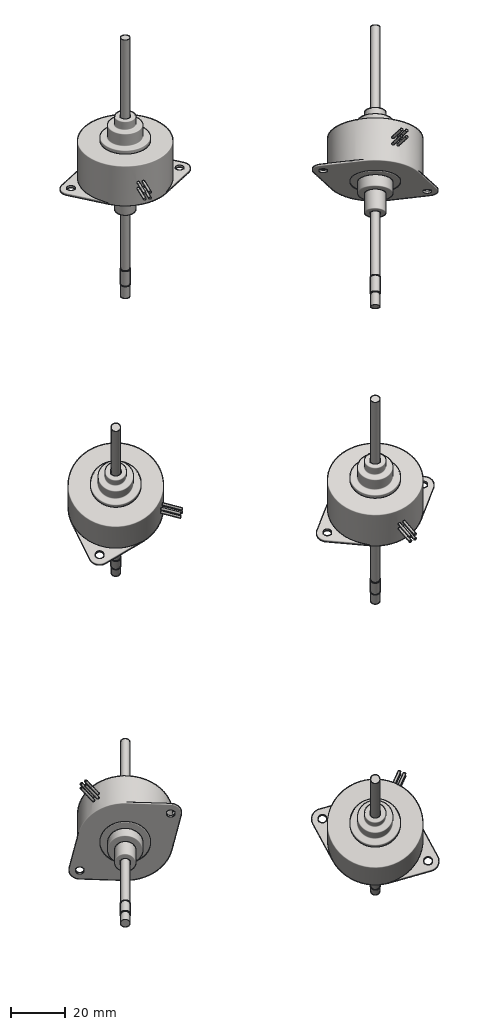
import cadquery as cq
import math


BODY_DIAMETER = 35.0
BODY_HEIGHT = 17.4

EDGE_FILLET = 0.3

FLANGE_THICKNESS = 1.0
MOUNT_HOLE_DIAMETER = 3.2
MOUNT_HOLE_OFFSET = 21.0
LUG_RADIUS = 4.0

PLATE_DIAMETER = 18.6
HOUSING_DIAMETER = 13.0
SLEEVE_DIAMETER = 7.9
TOP_PLATE_HEIGHT = 1.5
TOP_HOUSING_HEIGHT = 6.9
TOP_SLEEVE_HEIGHT = 10.6
BOTTOM_PLATE_HEIGHT = 0.45
BOTTOM_HOUSING_HEIGHT = 5.1
BOTTOM_SLEEVE_HEIGHT = 13.0

ROD_DIAMETER = 3.5
BAND_DIAMETER = 3.8
NECK_DIAMETER = 3.36
ROD_LENGTH = 113.0
ROD_BOTTOM = -50.7
TAIL_LENGTH = 5.15
BAND_LENGTH = 6.45
NECK_WIDTH = 0.3

BORE_DIAMETER = 4.0
BORE_DEPTH = 2.0

WIRE_DIAMETER = 1.0
WIRE_END = 25.0
WIRE_EMBED = 1.0
WIRE_ROOT = BODY_DIAMETER / 2 - WIRE_EMBED
WIRE_Y_OFFSET = 1.0
WIRE_MID_Z = BODY_HEIGHT / 2
WIRE_Z_OFFSET = 1.3


def cylinder(diameter, z_start, z_end):
    """Cylinder on the motor axis between two heights."""
    return cq.Workplane("XY", origin=(0, 0, z_start)).circle(diameter / 2).extrude(z_end - z_start)


def rounded_cylinder(diameter, z_start, z_end):
    """Cylinder on the motor axis with both rims rounded."""
    return cylinder(diameter, z_start, z_end).faces("<Z or >Z").edges().fillet(EDGE_FILLET)


def make_flange():
    """Plate whose straight edges are tangent to the can's circle and to the lug tips."""
    body_radius = BODY_DIAMETER / 2
    normal_y = (body_radius - LUG_RADIUS) / MOUNT_HOLE_OFFSET
    normal_x = math.sqrt(1 - normal_y**2)
    body_x = body_radius * normal_x
    body_y = body_radius * normal_y
    lug_x = LUG_RADIUS * normal_x
    lug_y = MOUNT_HOLE_OFFSET + LUG_RADIUS * normal_y
    lug_tip = MOUNT_HOLE_OFFSET + LUG_RADIUS
    plate = (
        cq.Workplane("XY")
        .moveTo(body_x, body_y)
        .lineTo(lug_x, lug_y)
        .threePointArc((0, lug_tip), (-lug_x, lug_y))
        .lineTo(-body_x, body_y)
        .threePointArc((-body_radius, 0), (-body_x, -body_y))
        .lineTo(-lug_x, -lug_y)
        .threePointArc((0, -lug_tip), (lug_x, -lug_y))
        .lineTo(body_x, -body_y)
        .threePointArc((body_radius, 0), (body_x, body_y))
        .close()
        .extrude(FLANGE_THICKNESS)
        .faces("<Z or >Z")
        .edges()
        .fillet(EDGE_FILLET)
    )
    holes = (
        cq.Workplane("XY")
        .pushPoints([(0, MOUNT_HOLE_OFFSET), (0, -MOUNT_HOLE_OFFSET)])
        .circle(MOUNT_HOLE_DIAMETER / 2)
        .extrude(FLANGE_THICKNESS)
    )
    return plate.cut(holes)


def make_bearing_stack():
    """Plate, housing and sleeve stepping down in diameter out of both ends of the can."""
    steps = [
        (PLATE_DIAMETER, BOTTOM_PLATE_HEIGHT, TOP_PLATE_HEIGHT),
        (HOUSING_DIAMETER, BOTTOM_HOUSING_HEIGHT, TOP_HOUSING_HEIGHT),
        (SLEEVE_DIAMETER, BOTTOM_SLEEVE_HEIGHT, TOP_SLEEVE_HEIGHT),
    ]
    stack = cq.Workplane("XY")
    for diameter, below, above in steps:
        stack = stack.union(rounded_cylinder(diameter, -below, BODY_HEIGHT + above))
    return stack


def make_root_fillet(diameter, z_base):
    """Ring with a concave quarter-round profile, blending a cylinder into the face it rises from."""
    radius = diameter / 2
    centre_r = radius + EDGE_FILLET
    centre_z = z_base + EDGE_FILLET
    arc_offset = EDGE_FILLET * math.sqrt(0.5)
    return (
        cq.Workplane("XZ")
        .moveTo(radius - EDGE_FILLET, z_base)
        .lineTo(centre_r, z_base)
        .threePointArc((centre_r - arc_offset, centre_z - arc_offset), (radius, centre_z))
        .lineTo(radius - EDGE_FILLET, centre_z)
        .close()
        .revolve(360, (0, 0, 0), (0, 1, 0))
    )


def make_end_bores():
    """Clearance bores around the rod at both sleeve ends."""
    top = BODY_HEIGHT + TOP_SLEEVE_HEIGHT
    bottom = -BOTTOM_SLEEVE_HEIGHT
    return cylinder(BORE_DIAMETER, top - BORE_DEPTH, top).union(
        cylinder(BORE_DIAMETER, bottom, bottom + BORE_DEPTH)
    )


def make_rod():
    """Rod stacked from its lower end up: tail, neck, band, neck and the long shaft."""
    upper_shaft = ROD_LENGTH - TAIL_LENGTH - BAND_LENGTH - 2 * NECK_WIDTH
    sections = [
        (ROD_DIAMETER, TAIL_LENGTH),
        (NECK_DIAMETER, NECK_WIDTH),
        (BAND_DIAMETER, BAND_LENGTH),
        (NECK_DIAMETER, NECK_WIDTH),
        (ROD_DIAMETER, upper_shaft),
    ]
    rod = cq.Workplane("XY")
    z = ROD_BOTTOM
    for diameter, length in sections:
        rod = rod.union(cylinder(diameter, z, z + length))
        z += length
    return rod


def make_wires():
    """Two-by-two group of straight wire stubs."""
    return (
        cq.Workplane("YZ", origin=(WIRE_ROOT, 0, WIRE_MID_Z))
        .rect(2 * WIRE_Y_OFFSET, 2 * WIRE_Z_OFFSET, forConstruction=True)
        .vertices()
        .circle(WIRE_DIAMETER / 2)
        .extrude(WIRE_END - WIRE_ROOT)
    )


body = rounded_cylinder(BODY_DIAMETER, 0, BODY_HEIGHT)
motor = (
    body.union(make_flange())
    .union(make_bearing_stack())
    .union(make_root_fillet(HOUSING_DIAMETER, BODY_HEIGHT + TOP_PLATE_HEIGHT))
    .union(make_root_fillet(SLEEVE_DIAMETER, BODY_HEIGHT + TOP_HOUSING_HEIGHT))
    .cut(make_end_bores())
)
result = motor.union(make_rod()).union(make_wires())